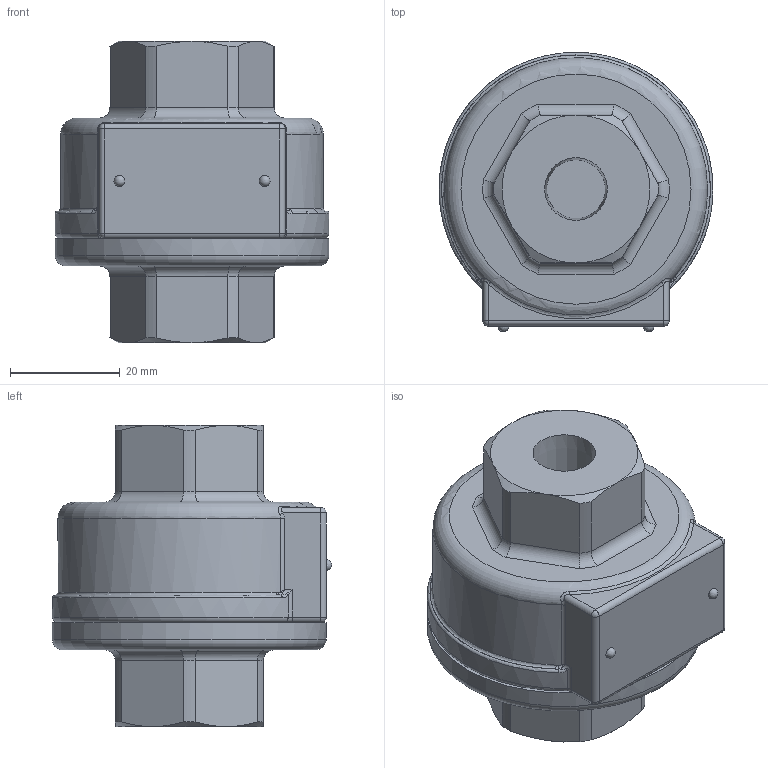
import cadquery as cq
import math

total_height = 55.0
hex_height = 14.0
flange_bottom = hex_height
flange_top = 19.0
body_top = total_height - hex_height

hex_across_flats = 27.0
hex_corner_diameter = 30.0
hex_chamfer_angle = 30.0
hex_turn = 30.0
hex_root_fillet = 2.0

bore_mouth_diameter = 11.445
bore_floor_diameter = 10.72
bore_taper = 1 / 16
bore_depth = (bore_mouth_diameter - bore_floor_diameter) / bore_taper

flange_radius = 25.0
flange_round = 2.0
body_radius = 24.0
body_round = 3.0
collar_top = 24.0
collar_round = 0.49
small_round = 1.0

pad_width = 34.0
pad_front = 25.0
pad_top = 40.0
pad_height = pad_top - flange_top
pad_trim = 1.0

tolerance = 0.01

rivet_radius = 1.0
rivet_spacing = 26.5
rivet_height = 29.5


def edges_within(low, high):
    """Selector for the edges that lie wholly inside the box between two corners."""
    low_corner = tuple(value - tolerance for value in low)
    high_corner = tuple(value + tolerance for value in high)
    return cq.selectors.BoxSelector(low_corner, high_corner, boundingbox=True)


def edges_at_level(reach, height):
    """Selector for the level edges at one height, within a square about the axis."""
    return edges_within((-reach, -reach, height), (reach, reach, height))


def make_lower_flange():
    """Disc with a rounded lower rim."""
    disc = cq.Workplane("XY").workplane(offset=flange_bottom).circle(flange_radius)
    disc = disc.extrude(flange_top - flange_bottom)
    return disc.faces("<Z").edges().fillet(flange_round)


def make_upper_body():
    """Domed cylinder standing on a wider collar."""
    base = cq.Workplane("XY").workplane(offset=flange_top)
    body = base.circle(body_radius).extrude(body_top - flange_top)
    body = body.faces(">Z").edges().fillet(body_round)
    return body.union(base.circle(flange_radius).extrude(collar_top - flange_top))


def trim_inside_pad(body):
    """Flatten the body inside the pad, so that it does not touch the pad's front face."""
    trim_front = pad_front - pad_trim
    trim = (
        cq.Workplane("XY")
        .workplane(offset=flange_top)
        .center(0, -trim_front - flange_radius / 2)
        .rect(pad_width, flange_radius)
        .extrude(collar_top - flange_top)
    )
    return body.cut(trim)


def add_pad(body):
    """Join the nameplate pad to the body and round its joint and its outer edges."""
    pad = (
        cq.Workplane("XY")
        .workplane(offset=flange_top)
        .center(0, -pad_front / 2)
        .rect(pad_width, pad_front)
        .extrude(pad_height)
    )
    joined = trim_inside_pad(body).union(pad)

    joint = edges_within((-pad_width / 2, pad_trim - pad_front, flange_top), (pad_width / 2, 0, pad_top))
    joint_edges = joined.edges(joint)
    front_edges = joined.faces("<Y").edges("|Z or >Z")
    side_edges = joined.faces("|X").edges("|Y and >Z")
    lower_rim = joined.faces("<Z").edges()
    return joint_edges.add(front_edges).add(side_edges).add(lower_rim).fillet(small_round)


def round_collar(body):
    """Round the collar's upper rim and the corner where it meets the cylinder."""
    collar_level = edges_at_level(flange_radius, collar_top)
    return body.edges(collar_level).edges("%CIRCLE").fillet(collar_round)


def make_hex_end():
    """Upper hexagonal end with trimmed corners and a chamfered end face."""
    corner_radius = hex_corner_diameter / 2
    face_radius = hex_across_flats / 2
    chamfer_height = (corner_radius - face_radius) * math.tan(math.radians(hex_chamfer_angle))
    prism = (
        cq.Workplane("XY")
        .workplane(offset=body_top)
        .polygon(6, hex_across_flats, circumscribed=True)
        .extrude(hex_height)
        .rotate((0, 0, 0), (0, 0, 1), hex_turn)
    )
    turned_blank = (
        cq.Workplane("XZ")
        .moveTo(0, body_top)
        .lineTo(corner_radius, body_top)
        .lineTo(corner_radius, total_height - chamfer_height)
        .lineTo(face_radius, total_height)
        .lineTo(0, total_height)
        .close()
        .revolve(360, (0, 0, 0), (0, 1, 0))
    )
    return prism.intersect(turned_blank)


def mirror_end(solid):
    """Copy a feature of the upper end to the lower end."""
    return solid.mirror("XY", (0, 0, total_height / 2))


def add_hex_ends(body):
    """Add both hexagonal ends and round the corners where they meet the body."""
    hex_end = make_hex_end()
    body = body.union(hex_end).union(mirror_end(hex_end))
    for root_height in (flange_bottom, body_top):
        root = edges_at_level(hex_corner_diameter / 2, root_height)
        body = body.edges(root).fillet(hex_root_fillet)
    return body


def make_bore():
    """Tapered blind bore of the upper end."""
    bore = cq.Workplane("XY").workplane(offset=total_height).circle(bore_mouth_diameter / 2)
    return bore.workplane(offset=-bore_depth).circle(bore_floor_diameter / 2).loft(ruled=True)


def make_rivet(x):
    """Ball whose outer half stands proud of the pad."""
    return cq.Workplane("XY").sphere(rivet_radius).translate((x, -pad_front, rivet_height))


result = round_collar(add_pad(make_upper_body()))
result = result.union(make_lower_flange())
result = add_hex_ends(result)
bore = make_bore()
result = result.cut(bore).cut(mirror_end(bore))
for side in (-1, 1):
    result = result.union(make_rivet(side * rivet_spacing / 2))